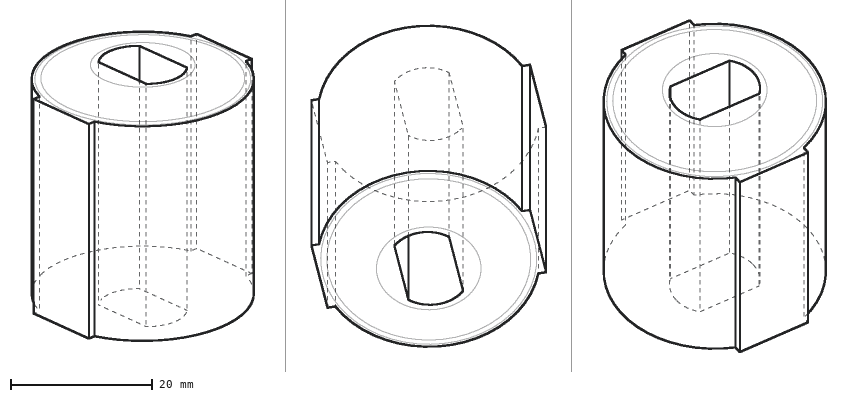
import cadquery as cq

height = 38.0
body_diameter = 31.5
depth_over_pads = 31.6

cone_height = 2.2
body_height = height - 2 * cone_height
cone_base_diameter = 29.7
cone_tip_diameter = 14.82
cone_foot_fillet = 3.0

pad_width = 11.4

bore_length = 13.07
bore_flat_length = 9.88
bore_across_flats = 7.9


def make_body():
    """Cylinder with a shallow truncated cone on each end, blended into the rim."""
    half_body = body_height / 2
    half_height = height / 2
    profile = (
        cq.Workplane("XZ")
        .moveTo(0, -half_height)
        .lineTo(cone_tip_diameter / 2, -half_height)
        .lineTo(cone_base_diameter / 2, -half_body)
        .lineTo(body_diameter / 2, -half_body)
        .lineTo(body_diameter / 2, half_body)
        .lineTo(cone_base_diameter / 2, half_body)
        .lineTo(cone_tip_diameter / 2, half_height)
        .lineTo(0, half_height)
        .close()
    )
    body = profile.revolve(360, (0, 0, 0), (0, 1, 0))
    foot_edges = cq.selectors.RadiusNthSelector(1)
    return body.edges("%CIRCLE").edges(foot_edges).fillet(cone_foot_fillet)


def make_pads():
    """Bar across the body whose two ends stand out as flat pads."""
    return cq.Workplane("XY").box(pad_width, depth_over_pads, body_height)


def make_bore():
    """Slot with two flats facing along Y, closed by bulging arcs at its ends."""
    half_flat = bore_flat_length / 2
    half_length = bore_length / 2
    half_gap = bore_across_flats / 2
    return (
        cq.Workplane("XY")
        .moveTo(-half_flat, -half_gap)
        .lineTo(half_flat, -half_gap)
        .threePointArc((half_length, 0), (half_flat, half_gap))
        .lineTo(-half_flat, half_gap)
        .threePointArc((-half_length, 0), (-half_flat, -half_gap))
        .close()
        .extrude(height / 2, both=True)
    )


result = make_body().union(make_pads()).cut(make_bore())